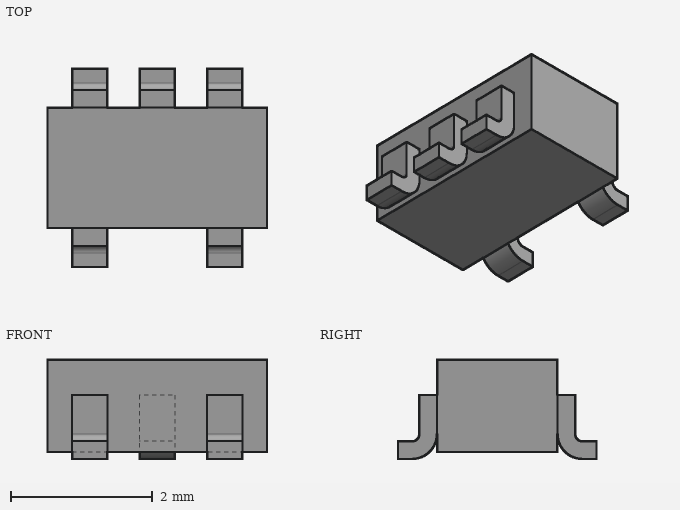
import cadquery as cq

body_length = 3.1
overall_depth = 2.8
overall_height = 1.4

body_depth = 1.7
standoff = 0.1
body_height = overall_height - standoff

lead_width = 0.5
lead_thickness = 0.25
lead_height = 0.905
lead_pitch = 0.952
inner_bend_radius = 0.1
outer_bend_radius = inner_bend_radius + lead_thickness
lead_reach = (overall_depth - body_depth) / 2

front_positions = (-1, 1)
back_positions = (-1, 0, 1)


def make_housing():
    """Plain block raised above the lead feet."""
    return (
        cq.Workplane("XY")
        .workplane(offset=standoff)
        .box(body_length, body_depth, body_height, centered=(True, True, False))
    )


def make_lead():
    """L-shaped lead on the +Y side: upright on the housing wall, foot pointing out."""
    wall = body_depth / 2
    tip = wall + lead_reach
    profile = (
        cq.Workplane("YZ")
        .moveTo(wall, lead_height)
        .lineTo(wall, outer_bend_radius)
        .radiusArc((wall + outer_bend_radius, 0), -outer_bend_radius)
        .lineTo(tip, 0)
        .lineTo(tip, lead_thickness)
        .lineTo(wall + outer_bend_radius, lead_thickness)
        .radiusArc((wall + lead_thickness, outer_bend_radius), inner_bend_radius)
        .lineTo(wall + lead_thickness, lead_height)
        .close()
    )
    return profile.extrude(lead_width / 2, both=True)


def place_leads():
    """Three leads along the back (+Y) and two along the front (-Y)."""
    back_lead = make_lead()
    front_lead = back_lead.mirror("XZ")
    leads = []
    for lead, positions in ((back_lead, back_positions), (front_lead, front_positions)):
        for position in positions:
            leads.append(lead.translate((position * lead_pitch, 0, 0)).val())
    return leads


housing = make_housing()
leads = place_leads()

result = cq.Compound.makeCompound([housing.val(), *leads])